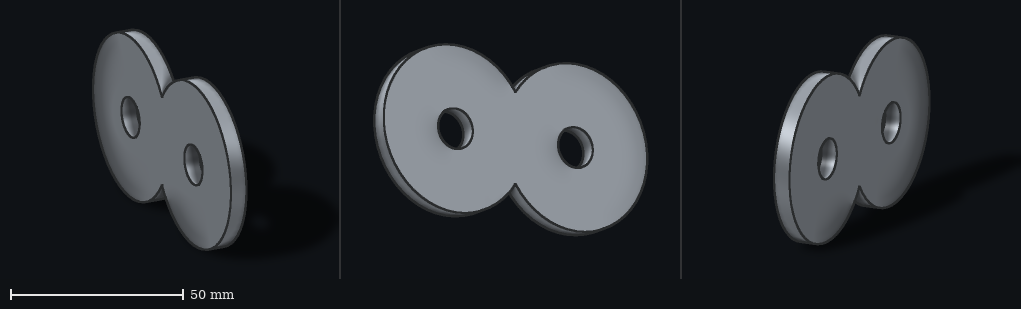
import cadquery as cq

length = 91.7
disc_diameter = 50.0
hole_diameter = 12.0
thickness = 5.0

hole_spacing = length - disc_diameter
center_offset = hole_spacing / 2


def cylinder(x, diameter):
    """Cylinder along Y through the plate thickness, centered at x."""
    return (
        cq.Workplane("XZ")
        .center(x, 0)
        .circle(diameter / 2)
        .extrude(thickness / 2, both=True)
    )


result = cylinder(-center_offset, disc_diameter).union(cylinder(center_offset, disc_diameter))

for x in (-center_offset, center_offset):
    result = result.cut(cylinder(x, hole_diameter))